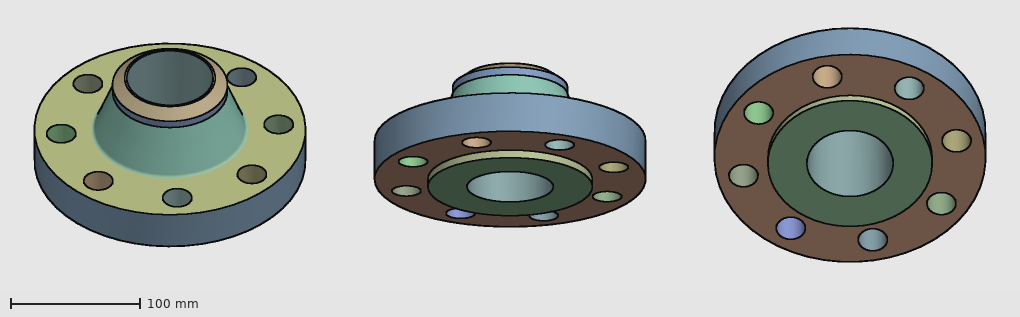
import cadquery as cq

flange_diameter = 209.5
flange_thickness = 31.6
raised_face_diameter = 127.0
raised_face_height = 6.3

bolt_count = 8
bolt_circle_diameter = 168.2
bolt_hole_diameter = 22.5

overall_height = 88.8
hub_base_diameter = 117.5
neck_diameter = 88.8
neck_height = 6.3
bevel_height = 7.0
weld_end_diameter = 70.0
hub_fillet_radius = 3.0
bore_diameter = 66.6

flange_bottom = raised_face_height
flange_top = flange_bottom + flange_thickness
bevel_start = overall_height - bevel_height
neck_start = bevel_start - neck_height


def make_body():
    """Revolve the half profile of raised face, plate and hub about Z."""
    profile = (
        cq.Workplane("XZ")
        .moveTo(bore_diameter / 2, 0)
        .lineTo(raised_face_diameter / 2, 0)
        .lineTo(raised_face_diameter / 2, flange_bottom)
        .lineTo(flange_diameter / 2, flange_bottom)
        .lineTo(flange_diameter / 2, flange_top)
        .lineTo(hub_base_diameter / 2, flange_top)
        .lineTo(neck_diameter / 2, neck_start)
        .lineTo(neck_diameter / 2, bevel_start)
        .lineTo(weld_end_diameter / 2, overall_height)
        .lineTo(bore_diameter / 2, overall_height)
        .close()
    )
    return profile.revolve(360, (0, 0, 0), (0, 1, 0))


def round_hub_base(body):
    """Blend the hub into the top of the flange plate."""
    flange_top_face = body.faces("+Z").faces("<Z")
    hub_base_edge = flange_top_face.edges(cq.selectors.RadiusNthSelector(0))
    return hub_base_edge.fillet(hub_fillet_radius)


def make_bolt_holes():
    """Cylinders through the flange plate, evenly spaced from the +X axis."""
    return (
        cq.Workplane("XY")
        .workplane(offset=flange_bottom)
        .polarArray(bolt_circle_diameter / 2, 0, 360, bolt_count)
        .circle(bolt_hole_diameter / 2)
        .extrude(flange_thickness)
    )


result = round_hub_base(make_body()).cut(make_bolt_holes())